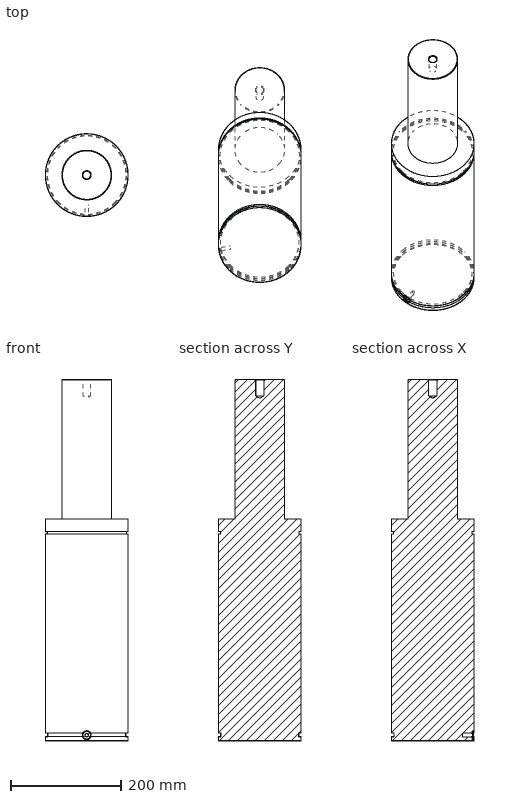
import cadquery as cq
import math

TOTAL_HEIGHT = 655.0
BODY_DIAMETER = 150.0
BODY_HEIGHT = 402.0
ROD_DIAMETER = 90.0
ROD_CHAMFER = 1.0

UPPER_GROOVE_BOTTOM = 375.0
UPPER_GROOVE_WIDTH = 4.0
UPPER_GROOVE_DEPTH = 3.0
LOWER_GROOVE_BOTTOM = 8.0
LOWER_GROOVE_WIDTH = 6.0
LOWER_GROOVE_DEPTH = 4.0

ROD_HOLE_DIAMETER = 14.0
ROD_HOLE_MOUTH_DIAMETER = 16.0
ROD_HOLE_DEPTH = 30.0
DRILL_POINT_ANGLE = 118.0

PORT_HEIGHT = 10.5
PORT_BOSS_DIAMETER = 16.0
PORT_FACE_DEPTH = 1.0
PORT_BOSS_LENGTH = 2 * LOWER_GROOVE_DEPTH
PORT_COUNTERBORE_DIAMETER = 14.0
PORT_COUNTERBORE_DEPTH = 2.0
PORT_HOLE_DIAMETER = 6.0
PORT_HOLE_DEPTH = 20.0


def drill_point_depth(diameter):
    """Height of the cone left by a drill of the given diameter."""
    return diameter / 2 / math.tan(math.radians(DRILL_POINT_ANGLE / 2))


def make_body():
    """Plain cylinder body with the piston rod standing on it."""
    body = cq.Workplane("XY").circle(BODY_DIAMETER / 2).extrude(BODY_HEIGHT)
    rod = cq.Workplane("XY").circle(ROD_DIAMETER / 2).extrude(TOTAL_HEIGHT)
    rod = rod.faces(">Z").chamfer(ROD_CHAMFER)
    return body.union(rod)


def ring_groove(bottom, width, depth):
    """Ring of material to remove from the outside of the body."""
    return (
        cq.Workplane("XY", origin=(0, 0, bottom))
        .circle(BODY_DIAMETER / 2)
        .circle(BODY_DIAMETER / 2 - depth)
        .extrude(width)
    )


def rod_hole():
    """Hole with a chamfered mouth and a drill point, as a solid of revolution."""
    radius = ROD_HOLE_DIAMETER / 2
    mouth_radius = ROD_HOLE_MOUTH_DIAMETER / 2
    floor = TOTAL_HEIGHT - ROD_HOLE_DEPTH
    return (
        cq.Workplane("XZ")
        .moveTo(0, TOTAL_HEIGHT)
        .lineTo(mouth_radius, TOTAL_HEIGHT)
        .lineTo(radius, TOTAL_HEIGHT - (mouth_radius - radius))
        .lineTo(radius, floor)
        .lineTo(0, floor - drill_point_depth(ROD_HOLE_DIAMETER))
        .close()
        .revolve(360, (0, 0, 0), (0, 1, 0))
    )


def port_cylinder(diameter, outer_depth, length):
    """Cylinder along Y that starts outer_depth below the body surface and runs inwards."""
    start = outer_depth - BODY_DIAMETER / 2
    return (
        cq.Workplane("XZ", origin=(0, start, PORT_HEIGHT))
        .circle(diameter / 2)
        .extrude(-length)
    )


def add_port(part):
    """Flat round boss that bridges the groove, with a counterbored hole."""
    face_cut = port_cylinder(PORT_BOSS_DIAMETER, 0, PORT_FACE_DEPTH)
    boss = port_cylinder(PORT_BOSS_DIAMETER, PORT_FACE_DEPTH, PORT_BOSS_LENGTH)
    hole = port_cylinder(PORT_HOLE_DIAMETER, PORT_FACE_DEPTH, PORT_HOLE_DEPTH)
    counterbore = port_cylinder(PORT_COUNTERBORE_DIAMETER, PORT_FACE_DEPTH, PORT_COUNTERBORE_DEPTH)
    return part.cut(face_cut).union(boss).cut(counterbore).cut(hole)


result = make_body()
result = result.cut(ring_groove(UPPER_GROOVE_BOTTOM, UPPER_GROOVE_WIDTH, UPPER_GROOVE_DEPTH))
result = result.cut(ring_groove(LOWER_GROOVE_BOTTOM, LOWER_GROOVE_WIDTH, LOWER_GROOVE_DEPTH))
result = result.cut(rod_hole())
result = add_port(result)